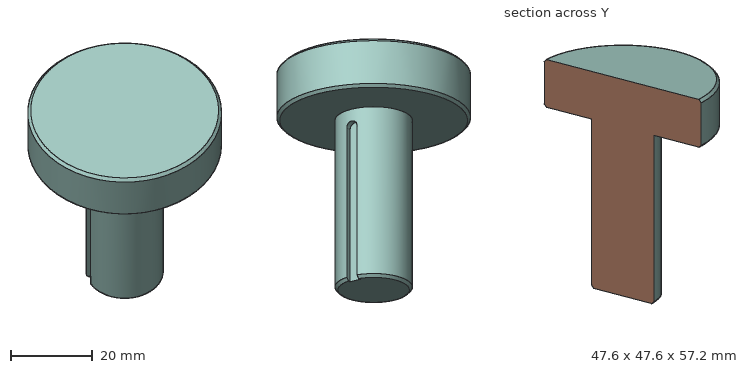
import cadquery as cq

total_height = 57.15
head_diameter = 47.6
head_height = 12.7
shaft_diameter = 19.05
edge_chamfer = 0.75

keyway_width = 3.05
keyway_length = 41.4
keyway_depth = 1.55

shaft_length = total_height - head_height
shaft_radius = shaft_diameter / 2


def make_shaft():
    """Shaft standing on Z = 0, chamfered at its free end."""
    shaft = cq.Workplane("XY").circle(shaft_radius).extrude(shaft_length)
    return shaft.faces("<Z").edges().chamfer(edge_chamfer)


def make_head():
    """Disc on top of the shaft, chamfered on both rims."""
    head = cq.Workplane("XY").workplane(offset=shaft_length)
    head = head.circle(head_diameter / 2).extrude(head_height)
    return head.edges("%CIRCLE").chamfer(edge_chamfer)


def make_keyway():
    """Flat-bottomed cutter with a round upper end."""
    half_width = keyway_width / 2
    arc_start = keyway_length - half_width
    return (
        cq.Workplane("XZ", origin=(0, -shaft_radius + keyway_depth, 0))
        .moveTo(-half_width, 0)
        .lineTo(half_width, 0)
        .lineTo(half_width, arc_start)
        .threePointArc((0, keyway_length), (-half_width, arc_start))
        .close()
        .extrude(keyway_depth)
    )


result = make_shaft().union(make_head()).cut(make_keyway())